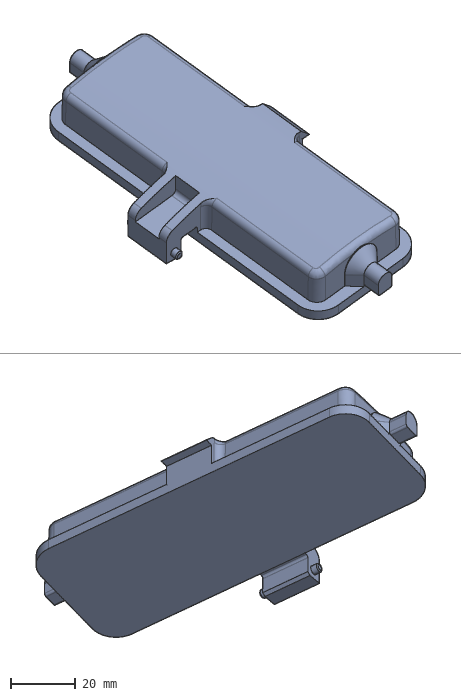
import cadquery as cq
import math

total_length = 136.4
rim_length = 123.8
rim_width = 46.5
rim_height = 3.9
rim_corner_radius = 9.0

lid_length = 115.1
lid_width = 39.0
lid_corner_radius = 4.0
lid_draft = 1.0
lid_edge_radius = 2.5
crown_height = 17.85
crown_radius = 118.0

strap_width = 17.0
strap_blend_radius = 2.5
catch_y = 26.2
catch_z = 11.7
core_end_y = 22.6
arm_end_y = -36.9
arm_end_radius = 3.7
arm_gap_y = -rim_width / 2
arm_gap_top = 6.5
arm_gap_radius = 0.8
leg_inner_y = -30.4
leg_toe_y = -31.6
leg_toe_z = -1.05
leg_side_z = -0.3

channel_width = 10.4
channel_back_y = -19.1
channel_floor = 8.55
channel_radius = 1.7

hinge_pin_diameter = 3.0
hinge_pin_length = 22.0
hinge_pin_chamfer = 0.4
hinge_pin_y = -33.5
hinge_pin_z = 2.65

end_pin_radius = 3.0
end_pin_z = 9.0
end_pin_bottom = 4.1
end_pin_bottom_radius = 0.8
flare_radius = 7.1


def crown_z(y):
    """Height of the crowned top at a given Y."""
    return crown_height - crown_radius + math.sqrt(crown_radius**2 - y**2)


def make_rim():
    rim = cq.Workplane("XY").rect(rim_length, rim_width).extrude(rim_height)
    return rim.edges("|Z").fillet(rim_corner_radius)


def make_crown():
    """Cylinder along X whose upper side is the crowned top."""
    return (
        cq.Workplane("YZ", origin=(0, 0, crown_height - crown_radius))
        .circle(crown_radius)
        .extrude(rim_length / 2, both=True)
    )


def make_lid():
    outline = cq.Sketch().rect(lid_length, lid_width).vertices().fillet(lid_corner_radius)
    block_height = crown_height + lid_edge_radius
    block = cq.Workplane("XY").placeSketch(outline).extrude(block_height, taper=lid_draft)
    return block.intersect(make_crown()).faces(">Z").edges().fillet(lid_edge_radius)


def make_blended_lid():
    """Lid joined to the middle of the strap, with the inside corners between them rounded.

    The strap core first stands above the lid, so that each rounding runs on over the lid's
    top edge; the crown then trims everything level.
    """
    core_height = crown_height + 2 * strap_blend_radius
    core = cq.Workplane("XY").box(
        strap_width, 2 * core_end_y, core_height, centered=(True, True, False)
    )
    margin = 0.1
    joint_zone = cq.selectors.BoxSelector(
        (-strap_width / 2 - margin, -lid_width / 2 - margin, -margin),
        (strap_width / 2 + margin, lid_width / 2 + margin, crown_height + margin),
        boundingbox=True,
    )
    joined = make_lid().union(core, clean=False)
    return joined.edges(joint_zone).edges("not <Z").fillet(strap_blend_radius).intersect(make_crown())


def make_catch():
    """Undercut catch on the rear end of the strap core."""
    back_y = rim_width / 2
    outline = [
        (core_end_y, 0),
        (back_y, 0),
        (back_y, catch_z),
        (catch_y, catch_z),
        (core_end_y, crown_z(core_end_y)),
    ]
    return cq.Workplane("YZ").polyline(outline).close().extrude(strap_width / 2, both=True)


def make_arm():
    """Hinge arm running forward from the strap core and down to the hinge leg."""
    middle_y = (arm_end_y - core_end_y) / 2
    arm = (
        cq.Workplane("YZ")
        .moveTo(-core_end_y, crown_z(core_end_y))
        .threePointArc((middle_y, crown_z(middle_y)), (arm_end_y, crown_z(arm_end_y)))
        .lineTo(arm_end_y, leg_side_z)
        .lineTo(leg_toe_y, leg_toe_z)
        .lineTo(leg_inner_y, leg_side_z)
        .lineTo(leg_inner_y, arm_gap_top)
        .lineTo(arm_gap_y, arm_gap_top)
        .lineTo(arm_gap_y, 0)
        .lineTo(-core_end_y, 0)
        .close()
        .extrude(strap_width / 2, both=True)
    )
    arm_end = cq.selectors.NearestToPointSelector((0, arm_end_y, crown_z(arm_end_y)))
    arm = arm.edges(arm_end).fillet(arm_end_radius)
    for gap_y in (leg_inner_y, arm_gap_y):
        corner = cq.selectors.NearestToPointSelector((0, gap_y, arm_gap_top))
        arm = arm.edges(corner).fillet(arm_gap_radius)
    return arm


def make_channel():
    length = channel_back_y - arm_end_y
    channel = (
        cq.Workplane("XY", origin=(0, channel_back_y - length / 2, channel_floor))
        .rect(channel_width, length)
        .extrude(crown_height - channel_floor)
    )
    return channel.edges(">Y and <Z").fillet(channel_radius)


def make_hinge_pin():
    pin = (
        cq.Workplane("YZ")
        .center(hinge_pin_y, hinge_pin_z)
        .circle(hinge_pin_diameter / 2)
        .extrude(hinge_pin_length / 2, both=True)
    )
    return pin.faces("<X or >X").chamfer(hinge_pin_chamfer)


def make_end_pins():
    shaft = (
        cq.Workplane("YZ")
        .moveTo(-end_pin_radius, end_pin_bottom)
        .lineTo(end_pin_radius, end_pin_bottom)
        .lineTo(end_pin_radius, end_pin_z)
        .threePointArc((0, end_pin_z + end_pin_radius), (-end_pin_radius, end_pin_z))
        .close()
        .extrude(total_length / 2, both=True)
    )
    return shaft.edges("|X and <Z").fillet(end_pin_bottom_radius)


def make_flares():
    """Tapered pin roots: a half cone above the pin axis and a wedge below it."""
    tip_x = rim_length / 2
    wall_x = lid_length / 2
    inner_x = wall_x - lid_edge_radius
    half_outline = [
        (inner_x, 0),
        (inner_x, flare_radius),
        (wall_x, flare_radius),
        (tip_x, end_pin_radius),
        (tip_x, 0),
    ]
    plan = cq.Workplane("XY", origin=(0, 0, end_pin_z))
    cone = plan.polyline(half_outline).close().revolve(360, (0, 0, 0), (1, 0, 0))
    above_axis = cq.Workplane("XY", origin=(tip_x, 0, end_pin_z)).box(
        rim_length, rim_width, crown_height, centered=(True, True, False)
    )
    half_wedge = plan.polyline(half_outline).close().extrude(rim_height - end_pin_z)
    flare = cone.intersect(above_axis).union(half_wedge).union(half_wedge.mirror("XZ"))
    return flare.union(flare.mirror("YZ"))


result = make_blended_lid().union(make_catch()).union(make_arm())
result = result.cut(make_channel()).union(make_rim())
result = result.union(make_hinge_pin()).union(make_end_pins()).union(make_flares())